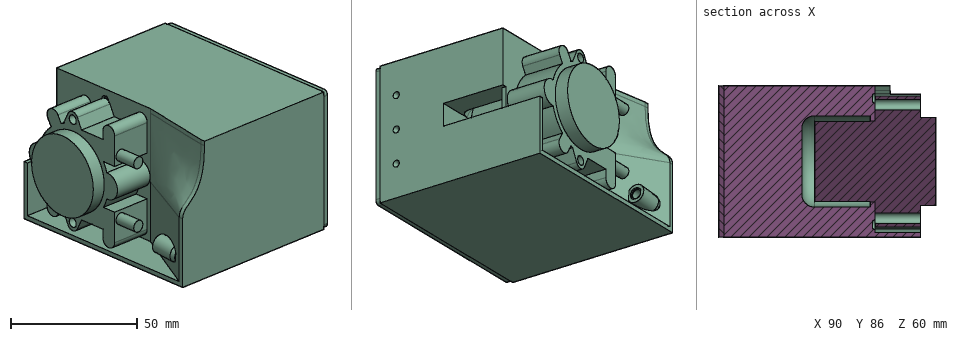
import cadquery as cq
import math


LENGTH = 90.0
HEIGHT = 60.0
DEPTH = 80.0
WALL = 2.0
PANEL_FRONT = 18.0
PANEL_REAR = PANEL_FRONT + WALL
LID_FRONT = DEPTH - WALL
HALF_LENGTH = LENGTH / 2
HALF_HEIGHT = HEIGHT / 2
INNER_X = HALF_LENGTH - WALL
INNER_Z = HALF_HEIGHT - WALL

SLOT_HEIGHT = 10.0
SLOT_END = 47.0
HALF_SLOT = SLOT_HEIGHT / 2

BLEND_START_X = 8.2
BLEND_LOW_Z = -2.0
STEP_DEPTH = 12.1
UPPER_HANDLE = 23.85
LOWER_HANDLE = 7.2

PILOT_DIAMETER = 3.0
PILOT_DEPTH = 3.0
PILOT_PITCH = 15.0
PILOT_Y = 70.0

SCREW_MOUTH_DIAMETER = 4.0
SCREW_END_DIAMETER = 3.0
SCREW_DEPTH = 1.0
SCREW_OFFSET = 25.0

FITTING_START = (26.8, 5.0, -18.4)
FITTING_TILT = 4.6
FITTING_DIAMETER = 8.0
FITTING_LENGTH = 12.0
FITTING_TAPER_DEPTH = 0.6
FITTING_TAPER_LENGTH = 2.0
FITTING_BORE = 4.0
FITTING_MOUTH = 5.0
FITTING_MOUTH_DEPTH = 0.7

PUMP_X = -17.0
BODY_DIAMETER = 39.6
COVER_DIAMETER = 35.0
COVER_HEIGHT = 6.0
MOTOR_DIAMETER = 32.0
MOTOR_REAR = 42.0
BORE_DIAMETER = 36.0

SIDE_LOBE_RADIUS = 5.8
SIDE_LOBE_TIP = 25.0
LOBE_RADIUS = 3.3
SLANTED_LOBE_ANGLE = 120
SLANTED_LOBE_OFFSET = 23.2
SHOULDER_LOW = 10.0
SHOULDER_HIGH = 19.6
SHOULDER_SIDE = 23.4
CORNER_LOBE_Z = 23.3

EAR_X = PUMP_X - 0.4
EAR_TIP_RADIUS = 3.0
EAR_TIP_OFFSET = 23.0
EAR_ROOT = 13.5
EAR_FLANK_ANGLE = math.radians(26.5)
EAR_HOLE_DIAMETER = 4.0
EAR_HOLE_OFFSET = 22.5

PORT_DIAMETER = 5.0
PORT_LENGTH = 10.0
PORT_Y = 3.3
PORT_Z = 13.9


def box(x_range, y_range, z_range):
    """Box between the given limits."""
    size = [high - low for low, high in (x_range, y_range, z_range)]
    corner = (x_range[0], y_range[0], z_range[0])
    return cq.Workplane("XY").box(*size, centered=False).translate(corner)


def bar(diameter, front, rear, x=PUMP_X, z=0.0):
    """Round bar along Y between two depths."""
    return cq.Workplane("XZ", origin=(x, front, z)).circle(diameter / 2).extrude(front - rear)


def cone(start, direction, mouth_diameter, end_diameter, depth):
    """Tapered hole cutter."""
    axis = cq.Vector(*direction)
    return cq.Solid.makeCone(mouth_diameter / 2, end_diameter / 2, depth, cq.Vector(*start), axis)



def straight_edges(x, corners):
    """Chain of straight edges through (Y, Z) corners in the plane at x."""
    points = [cq.Vector(x, y, z) for y, z in corners]
    return [cq.Edge.makeLine(a, b) for a, b in zip(points, points[1:])]


def blend_section(x, rim_y, curve_poles):
    """Closed YZ outline: top rim, curved front, straight lower front, bottom and rear."""
    curve = cq.Edge.makeBezier([cq.Vector(x, y, z) for y, z in curve_poles])
    rim = straight_edges(x, [(rim_y, HALF_HEIGHT), curve_poles[0]])
    low_y = curve_poles[-1][0]
    rest = straight_edges(x, [
        curve_poles[-1],
        (low_y, -HALF_HEIGHT),
        (PANEL_REAR, -HALF_HEIGHT),
        (PANEL_REAR, HALF_HEIGHT),
        (rim_y, HALF_HEIGHT),
    ])
    return cq.Wire.assembleEdges(rim + [curve] + rest)


def make_blend():
    """Ruled block from a straight front at the panel to an S-shaped front at the right wall."""
    pole_step = (INNER_Z - BLEND_LOW_Z) / 3
    straight_poles = [(PANEL_FRONT, INNER_Z - i * pole_step) for i in range(4)]
    s_poles = [
        (STEP_DEPTH, INNER_Z),
        (STEP_DEPTH, INNER_Z - UPPER_HANDLE),
        (0, LOWER_HANDLE),
        (0, 0),
    ]
    panel_section = blend_section(BLEND_START_X, PANEL_FRONT, straight_poles)
    wall_section = blend_section(INNER_X, STEP_DEPTH, s_poles)
    block = cq.Workplane(cq.Solid.makeLoft([panel_section, wall_section], True))
    wall = cq.Solid.extrudeLinear(wall_section, [], cq.Vector(WALL, 0, 0))
    return block.union(cq.Workplane(wall))


def make_shell():
    """Solid block behind the panel, with the bottom, left and right walls running to the front rim."""
    full_x = (-HALF_LENGTH, HALF_LENGTH)
    to_panel = (0, PANEL_FRONT)
    shell = box(full_x, (PANEL_FRONT, LID_FRONT), (-HALF_HEIGHT, HALF_HEIGHT))
    shell = shell.union(box(full_x, to_panel, (-HALF_HEIGHT, -INNER_Z)))
    shell = shell.union(box((-HALF_LENGTH, -INNER_X), to_panel, (-HALF_HEIGHT, -HALF_SLOT)))
    return shell.union(make_blend())


def fitting_turning(profile):
    """Solid turned about the fitting axis from (radius, distance along the axis) corners."""
    tilt = math.radians(FITTING_TILT)
    side_normal = (-math.sin(tilt), 0, -math.cos(tilt))
    side_plane = cq.Plane(origin=FITTING_START, xDir=(0, 1, 0), normal=side_normal)
    return cq.Workplane(side_plane).polyline(profile).close().revolve(360, (0, 0), (0, 1))


def add_fitting(shell):
    """Hose tube with a tapered far end and a bore that is wider at its mouth."""
    tube = fitting_turning([
        (0, 0),
        (FITTING_DIAMETER / 2, 0),
        (FITTING_DIAMETER / 2, FITTING_LENGTH - FITTING_TAPER_LENGTH),
        (FITTING_DIAMETER / 2 - FITTING_TAPER_DEPTH, FITTING_LENGTH),
        (0, FITTING_LENGTH),
    ])
    bore = fitting_turning([
        (0, 0),
        (FITTING_MOUTH / 2, 0),
        (FITTING_MOUTH / 2, FITTING_MOUTH_DEPTH),
        (FITTING_BORE / 2, FITTING_MOUTH_DEPTH),
        (FITTING_BORE / 2, FITTING_LENGTH),
        (0, FITTING_LENGTH),
    ])
    return shell.union(tube).cut(bore)


def cut_motor_bore(shell):
    """Close-fitting hole through the panel and a wider, round-ended bore behind it."""
    panel_hole = bar(MOTOR_DIAMETER, PANEL_FRONT, PANEL_REAR)
    rounding = SLOT_END - MOTOR_REAR
    bore = bar(BORE_DIAMETER, PANEL_REAR, SLOT_END).faces(">Y").edges().fillet(rounding)
    return shell.cut(panel_hole).cut(bore)


def cut_slot(shell):
    """Slot that notches the wall beside the panel and opens into the bore behind it."""
    z_range = (-HALF_SLOT, HALF_SLOT)
    notch = box((-HALF_LENGTH, -INNER_X), (PANEL_FRONT, PANEL_REAR), z_range)
    window = box((-HALF_LENGTH, PUMP_X), (PANEL_REAR, SLOT_END), z_range)
    return shell.cut(notch).cut(window)


def cut_small_holes(shell):
    for row in (-1, 0, 1):
        start = (-HALF_LENGTH, PILOT_Y, row * PILOT_PITCH)
        shell = shell.cut(cq.Workplane(cone(start, (1, 0, 0), PILOT_DIAMETER, 0, PILOT_DEPTH)))
    for side in (-1, 1):
        start = (EAR_X, PANEL_FRONT, side * SCREW_OFFSET)
        hole = cone(start, (0, 1, 0), SCREW_MOUTH_DIAMETER, SCREW_END_DIAMETER, SCREW_DEPTH)
        shell = shell.cut(cq.Workplane(hole))
    return shell


def make_housing():
    shell = add_fitting(make_shell())
    shell = cut_motor_bore(shell)
    shell = cut_slot(shell)
    return cut_small_holes(shell)



def make_lid():
    plate = box((-HALF_LENGTH, HALF_LENGTH), (LID_FRONT, DEPTH), (-HALF_HEIGHT, HALF_HEIGHT))
    return plate.edges("|Y").fillet(WALL)



def body_bar(radius, x, z):
    """Round piece of the pump body at a place measured from the pump axis."""
    return bar(2 * radius, 0, PANEL_FRONT, PUMP_X + x, z)


def body_block(x_range, z_low, z_high, side):
    """Rectangular piece of the pump body, above (side 1) or below (side -1) the axis."""
    z_range = sorted((side * z_low, side * z_high))
    return box([PUMP_X + x for x in x_range], (0, PANEL_FRONT), z_range)


def slanted_lobe(side):
    """Round-ended lobe pointing outwards and to the left."""
    angle = math.radians(SLANTED_LOBE_ANGLE)
    tip_x = SLANTED_LOBE_OFFSET * math.cos(angle)
    tip_z = side * SLANTED_LOBE_OFFSET * math.sin(angle)
    tip = body_bar(LOBE_RADIUS, tip_x, tip_z)
    neck = (
        cq.Workplane("XZ")
        .center(SLANTED_LOBE_OFFSET / 2, 0)
        .rect(SLANTED_LOBE_OFFSET, 2 * LOBE_RADIUS)
        .extrude(-PANEL_FRONT)
        .rotate((0, 0, 0), (0, 1, 0), -side * SLANTED_LOBE_ANGLE)
        .translate((PUMP_X, 0, 0))
    )
    return tip.union(neck)


def corner_lobe(side):
    """Square shoulder carrying a round-ended upright at its outer end."""
    upright_x = (SHOULDER_SIDE - 2 * LOBE_RADIUS, SHOULDER_SIDE)
    shoulder = body_block((0, SHOULDER_SIDE), SHOULDER_LOW, SHOULDER_HIGH, side)
    upright = body_block(upright_x, SHOULDER_LOW, CORNER_LOBE_Z, side)
    tip = body_bar(LOBE_RADIUS, SHOULDER_SIDE - LOBE_RADIUS, side * CORNER_LOBE_Z)
    return shoulder.union(upright).union(tip)


def ear(side):
    """Triangular ear whose flanks run tangent to its round tip."""
    tangent_x = EAR_TIP_RADIUS * math.cos(EAR_FLANK_ANGLE)
    tangent_z = EAR_TIP_OFFSET + EAR_TIP_RADIUS * math.sin(EAR_FLANK_ANGLE)
    root_x = tangent_x + (tangent_z - EAR_ROOT) * math.tan(EAR_FLANK_ANGLE)
    flanks = [
        (-tangent_x, side * tangent_z),
        (tangent_x, side * tangent_z),
        (root_x, side * EAR_ROOT),
        (-root_x, side * EAR_ROOT),
    ]
    wedge = cq.Workplane("XZ", origin=(EAR_X, 0, 0)).polyline(flanks).close().extrude(-PANEL_FRONT)
    tip = bar(2 * EAR_TIP_RADIUS, 0, PANEL_FRONT, EAR_X, side * EAR_TIP_OFFSET)
    return wedge.union(tip)


def port(side):
    """Round port along X on the right side of the shoulder."""
    start = (PUMP_X + SHOULDER_SIDE, PORT_Y, side * PORT_Z)
    return cq.Workplane("YZ", origin=start).circle(PORT_DIAMETER / 2).extrude(PORT_LENGTH)


def make_pump():
    body = bar(BODY_DIAMETER, 0, PANEL_FRONT)
    for side in (-1, 1):
        body = body.union(body_bar(SIDE_LOBE_RADIUS, side * (SIDE_LOBE_TIP - SIDE_LOBE_RADIUS), 0))
        for feature in (slanted_lobe, corner_lobe, ear, port):
            body = body.union(feature(side))
        body = body.cut(bar(EAR_HOLE_DIAMETER, 0, PANEL_FRONT, EAR_X, side * EAR_HOLE_OFFSET))
    cover = bar(COVER_DIAMETER, -COVER_HEIGHT, 0)
    motor = bar(MOTOR_DIAMETER, PANEL_FRONT, MOTOR_REAR)
    return body.union(cover).union(motor)


housing = make_housing().solids()
lid = make_lid().solids()
pump = make_pump().solids()
result = cq.Compound.makeCompound([housing.val(), lid.val(), pump.val()])